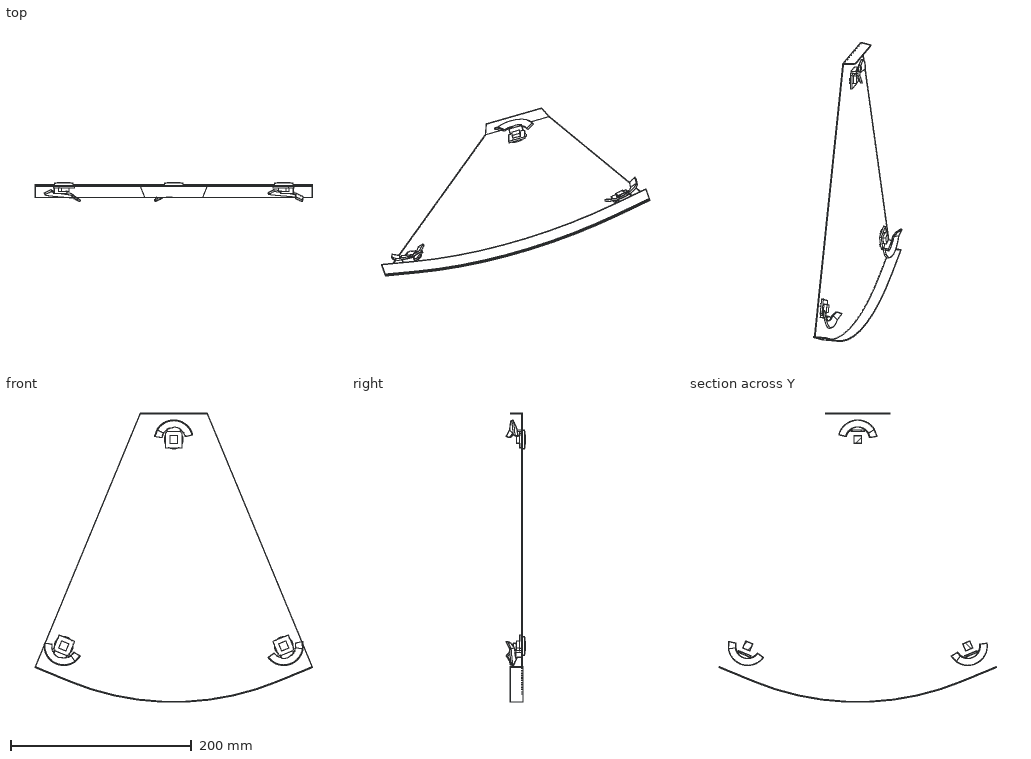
import cadquery as cq
import math


SHEET = 1.0
HEIGHT = 319.8
WIDTH = 306.7
SIDE_ANGLE = 22.5
RIM_RADIUS = 302.5
FLANGE_DEPTH = 13.0
FLANGE_TAPER = 4.8

BAND_BEHIND = 1.0
BAND_FRONT = 13.5

KNOB_RADIUS = 20.8 / 2
KNOB_HEIGHT = 3.5
KNOB_RIM = 2.5
SHAFT_SIDE = 8.5
SHAFT_END = 5.5

LATCH_SHEET = 2.0
BASE_SIDE = 18.5
BASE_TOP = 8.5
BASE_CORNER = 2.0
TAB_WIDTH = BASE_SIDE - 2 * BASE_CORNER
TAB_HEIGHT = 8.0
BRIDGE_LAP = 0.5
RAMP_INNER = 13.0
RAMP_OUTER = 20.8
RAMP_START = 14.0
RAMP_END = 149.0
TIP_END = 171.0
RAMP_LOW = 5.5
RAMP_HIGH = 9.5
TIP_HIGH = 13.5
RAMP_DISH = 3.5

TOP_LATCH_Z = 290.5
LOWER_LATCH_X = 121.5
LOWER_LATCH_Z = 62.5
LATCH_PLACES = [
    (0, TOP_LATCH_Z, 0),
    (-LOWER_LATCH_X, LOWER_LATCH_Z, 180 - SIDE_ANGLE),
    (LOWER_LATCH_X, LOWER_LATCH_Z, 180 + SIDE_ANGLE),
]

SIDE_SIN = math.sin(math.radians(SIDE_ANGLE))
SIDE_COS = math.cos(math.radians(SIDE_ANGLE))
SIDE_TAN = SIDE_SIN / SIDE_COS

ARC_CENTRE_Z = RIM_RADIUS
HALF_WIDTH = WIDTH / 2
STRAIGHT = (HALF_WIDTH - RIM_RADIUS * SIDE_SIN) / SIDE_COS
CORNER_Z = ARC_CENTRE_Z - RIM_RADIUS * SIDE_COS + STRAIGHT * SIDE_SIN
TOP_HALF_WIDTH = HALF_WIDTH - (HEIGHT - CORNER_Z) * SIDE_TAN


def rim_points(inset):
    """Right half of the rim, moved inwards by inset: lowest point, arc end, corner."""
    radius = RIM_RADIUS - inset
    lowest = (0, ARC_CENTRE_Z - radius)
    arc_end = (radius * SIDE_SIN, ARC_CENTRE_Z - radius * SIDE_COS)
    corner = (arc_end[0] + STRAIGHT * SIDE_COS, arc_end[1] + STRAIGHT * SIDE_SIN)
    return lowest, arc_end, corner


def mirrored(point):
    return (-point[0], point[1])


def front_plane(y):
    """Workplane parallel to the panel, its normal towards -Y."""
    return cq.Workplane("XZ", origin=(0, y, 0))


def make_plate():
    lowest, arc_end, corner = rim_points(SHEET)
    sheet = (
        front_plane(0)
        .moveTo(-TOP_HALF_WIDTH, HEIGHT)
        .lineTo(*mirrored(corner))
        .lineTo(*mirrored(arc_end))
        .threePointArc(lowest, arc_end)
        .lineTo(*corner)
        .lineTo(TOP_HALF_WIDTH, HEIGHT)
        .close()
        .extrude(SHEET)
    )
    end_half_width = TOP_HALF_WIDTH - FLANGE_TAPER
    flange = (
        cq.Workplane("XY", origin=(0, 0, HEIGHT - SHEET))
        .polyline([
            (-TOP_HALF_WIDTH, -SHEET),
            (TOP_HALF_WIDTH, -SHEET),
            (end_half_width, -FLANGE_DEPTH),
            (-end_half_width, -FLANGE_DEPTH),
        ])
        .close()
        .extrude(SHEET)
    )
    plate = sheet.union(flange)
    for x, z, turn in LATCH_PLACES:
        hole = cq.Workplane("XY").rect(SHAFT_SIDE, SHAFT_SIDE).extrude(-SHEET)
        plate = plate.cut(placed(hole, x, z, turn))
    return plate


def make_rim_band():
    outer_low, outer_arc, outer_corner = rim_points(0)
    inner_low, inner_arc, inner_corner = rim_points(SHEET)
    return (
        front_plane(BAND_BEHIND)
        .moveTo(*mirrored(outer_corner))
        .lineTo(*mirrored(outer_arc))
        .threePointArc(outer_low, outer_arc)
        .lineTo(*outer_corner)
        .lineTo(*inner_corner)
        .lineTo(*inner_arc)
        .threePointArc(inner_low, mirrored(inner_arc))
        .lineTo(*mirrored(inner_corner))
        .close()
        .extrude(BAND_BEHIND + BAND_FRONT)
    )


def placed(body, x, z, turn):
    """Move a body from its own axes (Z along the shaft, z = 0 on the plate's front face) to the panel."""
    turned = body.rotate((0, 0, 0), (0, 0, 1), turn)
    return turned.rotate((0, 0, 0), (1, 0, 0), 90).translate((x, -SHEET, z))


def make_knob():
    """Domed round knob behind the plate, with a square shaft through the plate and the latch."""
    seat = -SHEET
    dome_start = seat - KNOB_RIM
    dome_top = seat - KNOB_HEIGHT
    dome_rise = KNOB_HEIGHT - KNOB_RIM
    dome_radius = (KNOB_RADIUS**2 + dome_rise**2) / (2 * dome_rise)
    half_dome = math.asin(KNOB_RADIUS / dome_radius) / 2
    dome_middle = (
        dome_radius * math.sin(half_dome),
        dome_top + dome_radius * (1 - math.cos(half_dome)),
    )
    head = (
        cq.Workplane("XZ")
        .moveTo(0, seat)
        .lineTo(KNOB_RADIUS, seat)
        .lineTo(KNOB_RADIUS, dome_start)
        .threePointArc(dome_middle, (0, dome_top))
        .close()
        .revolve(360, (0, 0, 0), (0, 1, 0))
    )
    shaft = cq.Workplane("XY", origin=(0, 0, seat)).rect(SHAFT_SIDE, SHAFT_SIDE).extrude(SHEET + SHAFT_END)
    return head.union(shaft)


def ramp_section(angle, inner_height):
    """Cross-section of the ramp in the plane through the shaft axis at the given angle."""
    turn = math.radians(angle)
    plane = cq.Plane(
        origin=(0, 0, inner_height),
        xDir=(math.cos(turn), math.sin(turn), 0),
        normal=(math.sin(turn), -math.cos(turn), 0),
    )
    slope = math.atan2(RAMP_DISH, RAMP_OUTER - RAMP_INNER)
    back_shift = LATCH_SHEET * math.sin(slope)
    back_drop = LATCH_SHEET * math.cos(slope)
    return cq.Workplane(plane).polyline([
        (RAMP_INNER, 0),
        (RAMP_OUTER, RAMP_DISH),
        (RAMP_OUTER + back_shift, RAMP_DISH - back_drop),
        (RAMP_INNER + back_shift, -back_drop),
    ]).close()


def make_ramp():
    """Dished ramp that climbs along a helix."""
    climb = RAMP_HIGH - RAMP_LOW
    pitch = climb * 360 / (RAMP_END - RAMP_START)
    helix = cq.Wire.makeHelix(pitch, climb, RAMP_INNER)
    turned = helix.rotate(cq.Vector(0, 0, 0), cq.Vector(0, 0, 1), RAMP_START)
    path = turned.translate(cq.Vector(0, 0, RAMP_LOW))
    return ramp_section(RAMP_START, RAMP_LOW).sweep(cq.Workplane(path), isFrenet=True)


def make_tip():
    """Steeper straight tip at the high end of the ramp."""
    sections = [ramp_section(RAMP_END, RAMP_HIGH), ramp_section(TIP_END, TIP_HIGH)]
    wires = [section.wires().val() for section in sections]
    return cq.Workplane(cq.Solid.makeLoft(wires, True))


def make_latch():
    half = BASE_SIDE / 2
    base = (
        cq.Workplane("XY")
        .polyline([
            (-half, -half),
            (half, -half),
            (half, BASE_TOP - BASE_CORNER),
            (half - BASE_CORNER, BASE_TOP),
            (-half + BASE_CORNER, BASE_TOP),
            (-half, BASE_TOP - BASE_CORNER),
        ])
        .close()
        .extrude(LATCH_SHEET)
    )
    tab = (
        cq.Workplane("XY")
        .center(0, BASE_TOP + LATCH_SHEET / 2)
        .rect(TAB_WIDTH, LATCH_SHEET)
        .extrude(TAB_HEIGHT)
    )
    bridge_box = cq.Workplane("XY").center(0, BASE_TOP + RAMP_INNER / 2).rect(TAB_WIDTH, RAMP_INNER)
    bridge_disc = cq.Workplane("XY").circle(RAMP_INNER + BRIDGE_LAP).extrude(LATCH_SHEET)
    bridge = (
        bridge_box.extrude(LATCH_SHEET)
        .intersect(bridge_disc)
        .translate((0, 0, TAB_HEIGHT - LATCH_SHEET))
    )
    shaft_hole = cq.Workplane("XY").rect(SHAFT_SIDE, SHAFT_SIDE).extrude(LATCH_SHEET)
    return base.union(tab).union(bridge).union(make_ramp()).union(make_tip()).cut(shaft_hole)


plate = make_plate()
rim_band = make_rim_band()
knobs = [placed(make_knob(), x, z, turn) for x, z, turn in LATCH_PLACES]
latches = [placed(make_latch(), x, z, turn) for x, z, turn in LATCH_PLACES]

result = cq.Compound.makeCompound([
    plate.solids().val(),
    rim_band.solids().val(),
    *[knob.solids().val() for knob in knobs],
    *[latch.solids().val() for latch in latches],
])